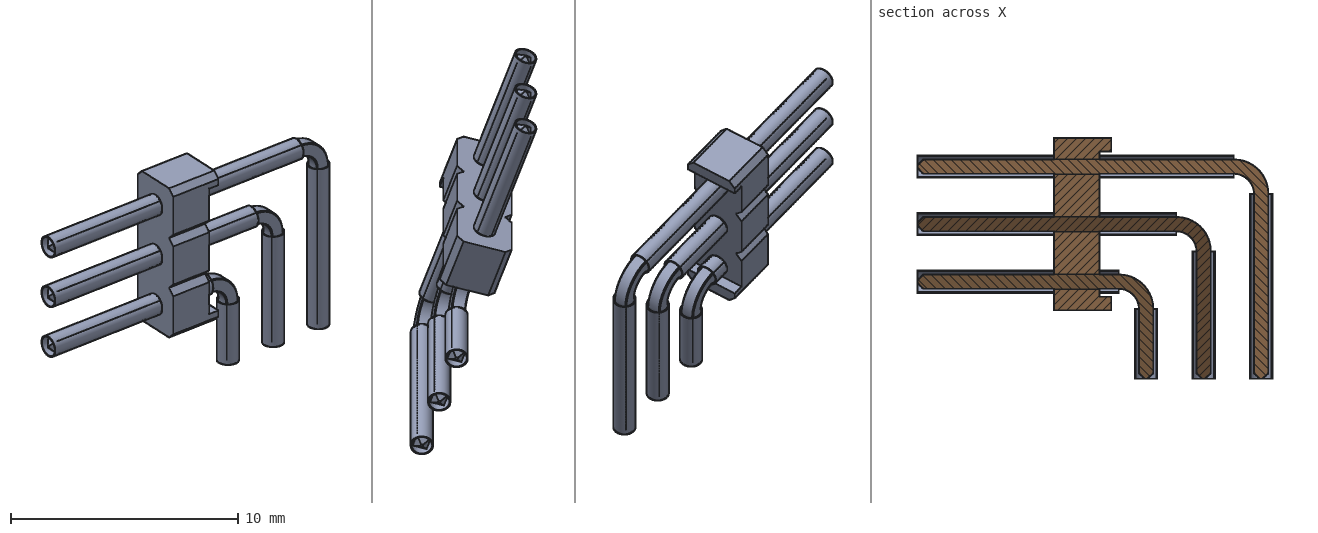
import cadquery as cq

PIN_COUNT = 3
PITCH = 2.53

HOUSING_WIDTH = PITCH
HOUSING_DEPTH = PITCH
HOUSING_HEIGHT = PIN_COUNT * PITCH
CORNER_CHAMFER = 0.3
LIP_DEPTH = 0.52
LIP_HEIGHT = 0.61
HOUSING_BOTTOM = -PITCH / 2
HOUSING_TOP = HOUSING_BOTTOM + HOUSING_HEIGHT
WALL_BACK = HOUSING_DEPTH - LIP_DEPTH

WIRE_SIDE = 0.64
POINT_LENGTH = 0.25
POINT_TIP_SIDE = 0.11
BEND_RADIUS = 1.2
BEND_CHAMFER = 0.05
TIP_Y = -6.0
TAIL_Z = -4.29
FIRST_TAIL_Y = 4.07

SLEEVE_DIAMETER = 1.0
SLEEVE_WALL = 0.05


def housing_cell(bottom):
    """One housing cell: a block with its four long edges, parallel to Y, chamfered."""
    return (
        cq.Workplane("XZ")
        .center(0, bottom + PITCH / 2)
        .rect(HOUSING_WIDTH, PITCH)
        .extrude(-HOUSING_DEPTH)
        .edges("|Y")
        .chamfer(CORNER_CHAMFER)
    )


def make_housing():
    """Row of chamfered cells with a rear recess between two lips and square wire holes."""
    body = housing_cell(HOUSING_BOTTOM)
    for i in range(1, PIN_COUNT):
        body = body.union(housing_cell(HOUSING_BOTTOM + i * PITCH))

    recess = cq.Workplane("XY").box(
        HOUSING_WIDTH, LIP_DEPTH, HOUSING_HEIGHT - 2 * LIP_HEIGHT, centered=(True, False, True)
    )
    body = body.cut(recess.translate((0, WALL_BACK, (HOUSING_BOTTOM + HOUSING_TOP) / 2)))

    for i in range(PIN_COUNT):
        hole = cq.Workplane("XZ").center(0, i * PITCH).rect(WIRE_SIDE, WIRE_SIDE).extrude(-HOUSING_DEPTH)
        body = body.cut(hole)
    return body


def straight_wire(start, direction, length):
    """Square wire from start along direction, ending in a blunt pyramid point within the length."""
    plane = cq.Plane(origin=start, xDir=(1, 0, 0), normal=direction)
    shank_length = length - POINT_LENGTH
    shank = cq.Workplane(plane).rect(WIRE_SIDE, WIRE_SIDE).extrude(shank_length)
    point = (
        cq.Workplane(plane)
        .workplane(offset=shank_length)
        .rect(WIRE_SIDE, WIRE_SIDE)
        .workplane(offset=POINT_LENGTH)
        .rect(POINT_TIP_SIDE, POINT_TIP_SIDE)
        .loft(ruled=True)
    )
    return shank.union(point)


def wire_bend(start):
    """Quarter bend from start, turning down about an X-parallel axis, with its long edges chamfered."""
    section = cq.Sketch().rect(WIRE_SIDE, WIRE_SIDE).vertices().chamfer(BEND_CHAMFER)
    return (
        cq.Workplane("XZ", origin=start)
        .placeSketch(section)
        .revolve(90, (0.15, -BEND_RADIUS), (-0.15, -BEND_RADIUS))
    )


def sleeve(start, direction, length):
    """Thin round tube from start along direction."""
    plane = cq.Plane(origin=start, xDir=(1, 0, 0), normal=direction)
    outer_radius = SLEEVE_DIAMETER / 2
    return cq.Workplane(plane).circle(outer_radius).circle(outer_radius - SLEEVE_WALL).extrude(length)


def make_pin(index):
    """Bent square wire with sleeves before the housing, behind it and on the tail."""
    axis_z = index * PITCH
    tail_y = FIRST_TAIL_Y + index * PITCH
    bend_y = tail_y - BEND_RADIUS
    bend_z = axis_z - BEND_RADIUS

    forward = (0, -1, 0)
    down = (0, 0, -1)
    bend_start = (0, bend_y, axis_z)
    tail_start = (0, tail_y, bend_z)
    tail_length = bend_z - TAIL_Z

    pin = wire_bend(bend_start).union(straight_wire(bend_start, forward, bend_y - TIP_Y))
    pin = pin.union(straight_wire(tail_start, down, tail_length))
    pin = pin.union(sleeve((0, 0, axis_z), forward, -TIP_Y))
    pin = pin.union(sleeve(bend_start, forward, bend_y - WALL_BACK))
    return pin.union(sleeve(tail_start, down, tail_length))


housing = make_housing()
pins = [make_pin(i) for i in range(PIN_COUNT)]

result = cq.Compound.makeCompound([housing.val(), *[pin.val() for pin in pins]])